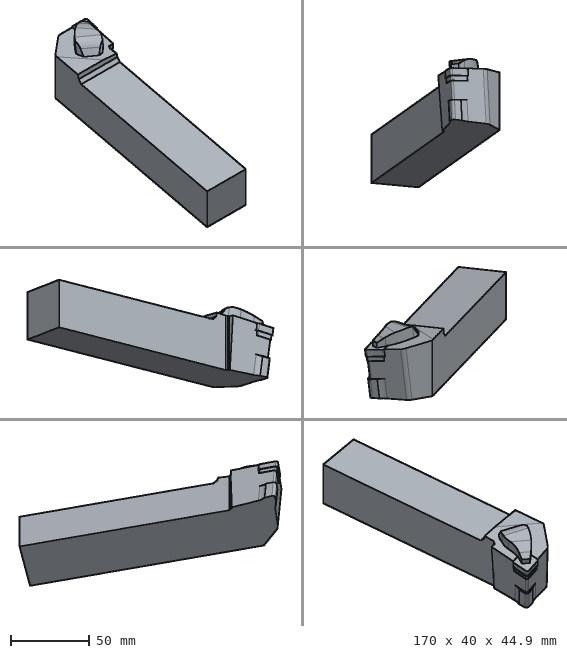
import cadquery as cq
import math

LENGTH = 170.0
SHANK = 32.0
HEAD_TOP = 38.0
RAMP = 2.5
RAMP_FOOT_X = 43.7
STEP_LEAN = 0.8
NOSE_END_X = 34.0
WING_X = 31.1
WING_SLANT = 0.3
WING_RUNOUT_X = 33.3
WING_RUNOUT = 1.0
CORNER_CUT = 17.5
CORNER_RADIUS = 5.1
OVERSIZE = 102.0

TIP_Y = 40.0
RAKE = 7.0
TIP_ANGLE = 80.0
INSERT_SIDE = 12.9
INSERT_THICKNESS = 4.8
INSERT_RADIUS = 1.2
SHIM_THICKNESS = 3.2
SHIM_INSET = 0.42
WALL_INSET = 0.7
NOSE_RADIUS = 1.2

BOSS_DIAMETER = 3.5
BOSS_PROUD = 1.0
BOSS_DEPTH = 20.4
BOSS_FLAT_END = 6.8
BOSS_RUNOUT = 4.6

TAIL_X, TAIL_Y = 26.8, 20.5
TAIL_RADIUS = 8.8
CLAMP_TOP = 44.9
CLAMP_REACH = 13.6
TAIL_ANGLE = -30.0
TAIL_CREST = 5.8
TAIL_BREAK = 2.4
TAIL_SLOPE = 42.0
TAIL_TILT = 2.5
BEVEL_TURN = 43.0
BEVEL_STEEPNESS = 62.0
BEVEL_REACH = 4.2
TIP_ROOF_Z = 37.4
TIP_ROOF_RUN, TIP_ROOF_END_Z = 4.2, 40.0
BROW_RUN, BROW_Z = 11.9, 43.2
BACK_RUN = 22.3
CLAMP_TIP_LEFT = (3.5, 32.8)
CLAMP_TIP_RIGHT = (7.0, 36.5)
HOLLOW_START, HOLLOW_MIDDLE, HOLLOW_END = (12.2, 33.6), (16.3, 32.3), (21.8, 31.6)
SHOULDER_MIDDLE, SHOULDER_END = (25.7, 30.8), (29.2, 28.9)
BULGE_START, BULGE_MIDDLE, BULGE_END = (20.7, 13.8), (13.3, 19.5), (6.6, 27.7)

HALF_TIP = math.radians(TIP_ANGLE / 2)
SIN_R, COS_R = math.sin(math.radians(RAKE)), math.cos(math.radians(RAKE))
DIAGONAL = math.sqrt(0.5)
NORMAL = (-SIN_R * DIAGONAL, SIN_R * DIAGONAL, COS_R)
ARC_REACH = INSERT_RADIUS * math.sqrt(1 - NORMAL[0] ** 2)
CORNER_SETBACK = INSERT_RADIUS / math.sin(HALF_TIP) * COS_R * DIAGONAL - ARC_REACH
TIP_CORNER_X, TIP_CORNER_Y = -CORNER_SETBACK, TIP_Y + CORNER_SETBACK
FOLD_X = 19.0
FOLD_DISTANCE = (FOLD_X - TIP_CORNER_X + TIP_CORNER_Y) * DIAGONAL
TIP_Z = HEAD_TOP - FOLD_DISTANCE * SIN_R / COS_R


def rake_frame(depth=0.0):
    """Workplane parallel to the rake plane, at a depth below it."""
    tip = (TIP_CORNER_X, TIP_CORNER_Y, TIP_Z)
    origin = tuple(t - depth * n for t, n in zip(tip, NORMAL))
    uphill = (COS_R * DIAGONAL, -COS_R * DIAGONAL, SIN_R)
    return cq.Workplane(cq.Plane(origin=origin, xDir=uphill, normal=NORMAL))


def on_rake(x, y):
    """Local coordinates of the rake plane point above plan position (x, y)."""
    dx, dy = x - TIP_CORNER_X, y - TIP_CORNER_Y
    return (dx - dy) * DIAGONAL / COS_R, (dx + dy) * DIAGONAL


def edge_at(x, y, depth):
    """Selector for the edge whose middle is nearest to a local point below the rake plane."""
    point = rake_frame().plane.toWorldCoords((x, y, -depth))
    return cq.selectors.NearestToPointSelector(point.toTuple())


def rhombus(inset, thickness, depth):
    """Insert-shaped plate whose front edges sit behind the insert edges by the inset."""
    start = inset / math.sin(HALF_TIP)
    middle = INSERT_SIDE * math.cos(HALF_TIP)
    half_width = (middle - start) * math.tan(HALF_TIP)
    outline = [(start, 0), (middle, -half_width), (2 * middle - start, 0), (middle, half_width)]
    plate = rake_frame(depth).polyline(outline).close().extrude(-thickness)
    return plate.edges(cq.selectors.ParallelDirSelector(cq.Vector(NORMAL))).fillet(INSERT_RADIUS)


def make_insert():
    return rhombus(0.0, INSERT_THICKNESS, 0.0)


def make_shim_seat():
    return rhombus(SHIM_INSET, SHIM_THICKNESS, INSERT_THICKNESS)


def make_nose():
    """Front of the head: its walls run square to the rake plane."""
    start = WALL_INSET / math.sin(HALF_TIP)
    cut_y = (CORNER_CUT - TIP_CORNER_X - TIP_CORNER_Y) * DIAGONAL
    corner = (start - cut_y / math.tan(HALF_TIP), cut_y)
    wall_end = (start + OVERSIZE * math.cos(HALF_TIP), OVERSIZE * math.sin(HALF_TIP))
    leaning = (
        rake_frame(-OVERSIZE / 2)
        .polyline([(start, 0), corner, (OVERSIZE, cut_y), wall_end])
        .close()
        .extrude(-2 * OVERSIZE)
    )
    leaning = leaning.edges(edge_at(start, 0, OVERSIZE / 2)).fillet(NOSE_RADIUS)
    leaning = leaning.edges(edge_at(*corner, OVERSIZE / 2)).fillet(CORNER_RADIUS)
    plan = (
        cq.Workplane("XY")
        .polyline([
            (0, 0),
            (NOSE_END_X, 0),
            (NOSE_END_X, SHANK),
            (WING_RUNOUT_X, SHANK),
            (WING_RUNOUT_X - WING_RUNOUT, SHANK + WING_RUNOUT),
            (WING_X + WING_SLANT, SHANK + WING_RUNOUT),
            (WING_X, TIP_Y),
            (0, TIP_Y),
        ])
        .close()
        .extrude(HEAD_TOP)
    )
    return plan.intersect(leaning)


def make_shank():
    """Straight shank with the ramp and the step up to the head top."""
    step_x = RAMP_FOOT_X - RAMP
    return (
        cq.Workplane("XZ")
        .polyline([
            (NOSE_END_X, 0),
            (LENGTH, 0),
            (LENGTH, SHANK),
            (RAMP_FOOT_X, SHANK),
            (step_x, SHANK + RAMP),
            (step_x - STEP_LEAN, HEAD_TOP),
            (NOSE_END_X, HEAD_TOP),
        ])
        .close()
        .extrude(-SHANK)
    )


def make_boss():
    """Low boss around the front corner, with a concave run-out into each nose wall."""
    start = (WALL_INSET - BOSS_PROUD) / math.sin(HALF_TIP)
    wall_start = WALL_INSET / math.sin(HALF_TIP)
    along = (math.cos(HALF_TIP), math.sin(HALF_TIP))
    sweep_radius = (BOSS_RUNOUT ** 2 + BOSS_PROUD ** 2) / (2 * BOSS_PROUD)
    mid_run = BOSS_RUNOUT / 2
    mid_proud = sweep_radius - math.sqrt(sweep_radius ** 2 - mid_run ** 2)
    corner_gap = BOSS_PROUD / math.tan(HALF_TIP)

    def beside_wall(run, proud, side):
        x = wall_start + run * along[0] - proud * along[1]
        y = run * along[1] + proud * along[0]
        return x, side * y

    flat_end = BOSS_FLAT_END - corner_gap
    run_end = flat_end + BOSS_RUNOUT
    profile = (
        rake_frame(BOSS_DEPTH)
        .moveTo(start, 0)
        .lineTo(*beside_wall(flat_end, BOSS_PROUD, -1))
        .threePointArc(beside_wall(run_end - mid_run, mid_proud, -1), beside_wall(run_end, 0, -1))
        .lineTo(*beside_wall(run_end, 0, 1))
        .threePointArc(beside_wall(run_end - mid_run, mid_proud, 1), beside_wall(flat_end, BOSS_PROUD, 1))
        .close()
    )
    boss = profile.extrude(-OVERSIZE)
    boss = boss.edges(edge_at(start, 0, BOSS_DEPTH + OVERSIZE / 2)).fillet(BOSS_DIAMETER / 2)
    above_base = cq.Workplane("XY").box(OVERSIZE, OVERSIZE, OVERSIZE, centered=(True, True, False))
    return boss.intersect(above_base)


def make_clamp_blank():
    """Clamp outline, narrow at the tip and round at the tail, standing on the rake plane."""
    tail_end_x = TAIL_X + TAIL_RADIUS * math.cos(math.radians(TAIL_ANGLE))
    tail_end_y = TAIL_Y + TAIL_RADIUS * math.sin(math.radians(TAIL_ANGLE))
    return (
        rake_frame()
        .moveTo(*on_rake(*CLAMP_TIP_LEFT))
        .lineTo(*on_rake(*CLAMP_TIP_RIGHT))
        .lineTo(*on_rake(*HOLLOW_START))
        .threePointArc(on_rake(*HOLLOW_MIDDLE), on_rake(*HOLLOW_END))
        .threePointArc(on_rake(*SHOULDER_MIDDLE), on_rake(*SHOULDER_END))
        .threePointArc(on_rake(tail_end_x, tail_end_y), on_rake(*BULGE_START))
        .threePointArc(on_rake(*BULGE_MIDDLE), on_rake(*BULGE_END))
        .close()
        .extrude(CLAMP_REACH)
    )


def make_front_roof():
    """Everything under the clamp roof that rises from the tip along the bisector."""
    tip_x = (CLAMP_TIP_LEFT[0] + CLAMP_TIP_RIGHT[0]) / 2
    tip_y = (CLAMP_TIP_LEFT[1] + CLAMP_TIP_RIGHT[1]) / 2
    rise = (CLAMP_TOP - BROW_Z) / (BACK_RUN - BROW_RUN)
    plane = cq.Plane(origin=(tip_x, tip_y, 0), xDir=(1, -1, 0), normal=(-1, -1, 0))
    return (
        cq.Workplane(plane)
        .lineTo(0, TIP_ROOF_Z)
        .lineTo(TIP_ROOF_RUN, TIP_ROOF_END_Z)
        .tangentArcPoint((BROW_RUN, BROW_Z), relative=False)
        .lineTo(OVERSIZE, BROW_Z + rise * (OVERSIZE - BROW_RUN))
        .lineTo(OVERSIZE, 0)
        .close()
        .extrude(OVERSIZE / 2, both=True)
    )


def make_tail_roof():
    """Everything under the rounded crest and the slope behind it."""
    slope = math.radians(TAIL_SLOPE)
    crest_radius = (TAIL_CREST + TAIL_BREAK) / math.sin(slope)
    break_z = CLAMP_TOP - crest_radius * (1 - math.cos(slope))
    pivot_y = TAIL_Y - TAIL_RADIUS
    foot = TAIL_BREAK + break_z / math.tan(slope)
    plane = cq.Plane(origin=(TAIL_X, TAIL_Y, 0), xDir=(1, 0, 0), normal=(0, -1, 0))
    return (
        cq.Workplane(plane)
        .moveTo(-OVERSIZE, 0)
        .lineTo(-OVERSIZE, CLAMP_TOP)
        .lineTo(-TAIL_CREST, CLAMP_TOP)
        .tangentArcPoint((TAIL_BREAK, break_z), relative=False)
        .lineTo(foot, 0)
        .close()
        .extrude(OVERSIZE / 2, both=True)
        .rotate((TAIL_X, pivot_y, CLAMP_TOP), (TAIL_X + 1.7, pivot_y, CLAMP_TOP), -TAIL_TILT)
        .rotate((TAIL_X, TAIL_Y, 0), (TAIL_X, TAIL_Y, 1), TAIL_ANGLE)
    )


def make_bevel_cutter(direction):
    """Block outside a steep bevel that faces the given direction, degrees from X."""
    run = OVERSIZE / math.tan(math.radians(BEVEL_STEEPNESS))
    return (
        cq.Workplane(cq.Plane(origin=(TAIL_X, TAIL_Y, 0), xDir=(1, 0, 0), normal=(0, -1, 0)))
        .polyline([
            (BEVEL_REACH + run, CLAMP_TOP - OVERSIZE),
            (BEVEL_REACH - run, CLAMP_TOP + OVERSIZE),
            (BEVEL_REACH + run, CLAMP_TOP + OVERSIZE),
        ])
        .close()
        .extrude(OVERSIZE / 2, both=True)
        .rotate((TAIL_X, TAIL_Y, 0), (TAIL_X, TAIL_Y, 1), direction)
    )


def make_clamp():
    clamp = make_clamp_blank().intersect(make_front_roof()).intersect(make_tail_roof())
    for side in (-1, 1):
        clamp = clamp.cut(make_bevel_cutter(TAIL_ANGLE + side * BEVEL_TURN))
    return clamp


def make_holder(insert):
    above_rake = rake_frame().rect(2 * OVERSIZE, 2 * OVERSIZE).extrude(OVERSIZE)
    holder = make_nose().union(make_shank())
    holder = holder.cut(above_rake).union(make_shim_seat()).union(make_boss())
    return holder.union(make_clamp()).cut(insert)


insert = make_insert()
holder = make_holder(insert)
result = cq.Compound.makeCompound([holder.val(), insert.val()])